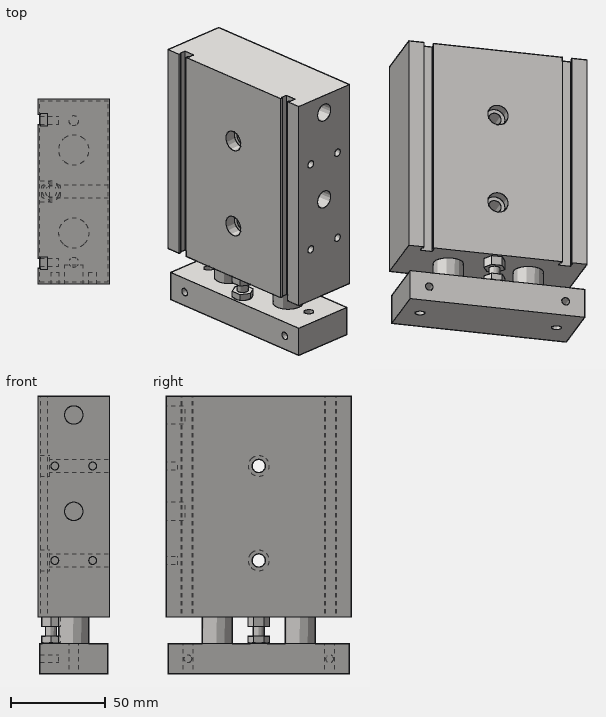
import cadquery as cq
import math


plate_thickness = 16.0
plate_width = 36.0
plate_length = 96.0
plate_gap = 14.0
plate_top = plate_thickness
side_hole_diameter = 4.13
side_hole_depth = 10.0
side_hole_y = 37.5
mount_hole_diameter = 5.2
mount_hole_y = side_hole_y

rod_diameter = 16.0
rod_y = 22.0

housing_width = 38.0
housing_length = 98.0
housing_height = 117.0
housing_bottom = plate_top + plate_gap
housing_top = housing_bottom + housing_height
left_face = -housing_width / 2
front_face = -housing_length / 2

slot_y = 38.0
slot_mouth_width = 5.2
slot_inner_width = 6.5
slot_lip = 1.5
slot_depth = 5.0

bolt_hole_diameter = 6.9
counterbore_diameter = 11.0
counterbore_depth = 6.2
hole_drops = (37.0, 87.0)

port_diameter = 9.73
port_depth = 10.0
port_drops = (10.0, 61.0)
thread_hole_diameter = 4.13
thread_hole_depth = 6.0
thread_hole_x = 10.0

bolt_x = -12.0
shank_diameter = 6.0
hex_across_flats = 10.0
hex_across_corners = hex_across_flats / math.cos(math.pi / 6)
head_height = 5.0
nut_height = 4.0
nut_seat_diameter = 9.0
nut_chamfer_angle = 30.0


def cylinder(diameter, length, base, direction):
    """Solid cylinder starting at base and running along direction."""
    solid = cq.Solid.makeCylinder(diameter / 2, length, cq.Vector(*base), cq.Vector(*direction))
    return cq.Workplane(solid)


def block(width, length, height, bottom):
    """Box centred in X and Y that stands on the level bottom."""
    return cq.Workplane().box(width, length, height, centered=(True, True, False)).translate((0, 0, bottom))


def slot_cutter(y):
    """T-shaped prism: a narrow mouth at the -X face and a wider channel inside."""
    mouth = cq.Workplane().box(slot_depth, slot_mouth_width, housing_height, centered=(False, True, False))
    channel = cq.Workplane().box(
        slot_depth - slot_lip, slot_inner_width, housing_height, centered=(False, True, False)
    )
    cutter = mouth.union(channel.translate((slot_lip, 0, 0)))
    return cutter.translate((left_face, y, housing_bottom))


def make_housing():
    body = block(housing_width, housing_length, housing_height, housing_bottom)
    for side in (-1, 1):
        body = body.cut(slot_cutter(side * slot_y))
    for drop in hole_drops:
        z = housing_top - drop
        body = body.cut(cylinder(bolt_hole_diameter, housing_width, (left_face, 0, z), (1, 0, 0)))
        body = body.cut(cylinder(counterbore_diameter, counterbore_depth, (left_face, 0, z), (1, 0, 0)))
        for side in (-1, 1):
            base = (side * thread_hole_x, front_face, z)
            body = body.cut(cylinder(thread_hole_diameter, thread_hole_depth, base, (0, 1, 0)))
    for drop in port_drops:
        base = (0, front_face, housing_top - drop)
        body = body.cut(cylinder(port_diameter, port_depth, base, (0, 1, 0)))
    return body


def make_plate_with_rods():
    body = block(plate_width, plate_length, plate_thickness, 0)
    for side in (-1, 1):
        body = body.union(cylinder(rod_diameter, plate_gap, (0, side * rod_y, plate_top), (0, 0, 1)))
        side_hole_base = (-plate_width / 2, side * side_hole_y, plate_thickness / 2)
        body = body.cut(cylinder(side_hole_diameter, side_hole_depth, side_hole_base, (1, 0, 0)))
        mount_hole_base = (0, side * mount_hole_y, 0)
        body = body.cut(cylinder(mount_hole_diameter, plate_thickness, mount_hole_base, (0, 0, 1)))
    return body


def hex_prism(height, bottom):
    """Hexagon on the bolt axis with two flats facing along X."""
    prism = cq.Workplane().polygon(6, hex_across_corners).extrude(height)
    return prism.rotate((0, 0, 0), (0, 0, 1), 90).translate((bolt_x, 0, bottom))


def make_nut():
    """Hexagon nut whose lower corners are turned off to a round seat on the plate."""
    slope = math.tan(math.radians(nut_chamfer_angle))
    seat_radius = nut_seat_diameter / 2
    cone_top_radius = seat_radius + nut_height / slope
    envelope = cq.Solid.makeCone(seat_radius, cone_top_radius, nut_height, cq.Vector(bolt_x, 0, plate_top))
    return hex_prism(nut_height, plate_top).intersect(cq.Workplane(envelope))


def make_stop_bolt():
    shank = cylinder(shank_diameter, plate_gap, (bolt_x, 0, plate_top), (0, 0, 1))
    nut = make_nut()
    head = hex_prism(head_height, housing_bottom - head_height)
    return shank.union(nut).union(head)


housing = make_housing()
plate_with_rods = make_plate_with_rods()
stop_bolt = make_stop_bolt()

result = cq.Compound.makeCompound([housing.val(), plate_with_rods.val(), stop_bolt.val()])